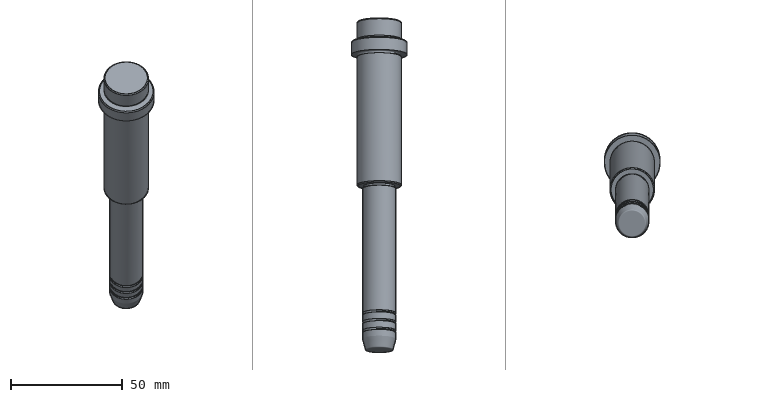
import math

import cadquery as cq

body_radius = 10.0
collar_radius = 12.5
pin_radius = 7.5

total_length = 150.0
head_height = 9.0
collar_height = 6.0
collar_top = total_length - head_height
collar_bottom = collar_top - collar_height
body_bottom = total_length / 2

edge_chamfer = 0.5

neck_depth = 0.5
neck_height = 1.0

tip_height = 5.0
tip_angle = math.radians(15)
tip_radius = pin_radius - tip_height * math.tan(tip_angle)
tip_fillet = 0.5

groove_radius = 0.5
collar_groove_heights = [collar_bottom - groove_radius, collar_top + groove_radius]
pin_groove_count = 3
pin_groove_pitch = 4.0
lowest_pin_groove_height = 8.5


def revolve_profile(points):
    """Turn a closed (radius, height) outline about the Z axis."""
    return cq.Workplane("XZ").polyline(points).close().revolve(360, (0, 0), (0, 1))


def make_ring(shaft_radius, center_height):
    """Round-section ring centred on a shaft's surface, used to cut a half-round groove."""
    section = cq.Workplane("XZ").center(-shaft_radius, center_height).circle(groove_radius)
    return section.revolve(360, (shaft_radius, 0), (shaft_radius, 1))


def make_tip():
    """Tapered lead-in at the lower end."""
    tip = revolve_profile([(0, 0), (tip_radius, 0), (pin_radius, tip_height), (0, tip_height)])
    return tip.faces("<Z").edges().fillet(tip_fillet)


def make_pin():
    """Slim guide section with a neck under the body and ring grooves above the tip."""
    neck_radius = pin_radius - neck_depth
    neck_bottom = body_bottom - neck_height
    pin = revolve_profile([
        (0, tip_height),
        (pin_radius, tip_height),
        (pin_radius, neck_bottom),
        (neck_radius, neck_bottom),
        (neck_radius, body_bottom),
        (0, body_bottom),
    ])
    for groove_index in range(pin_groove_count):
        groove_height = lowest_pin_groove_height + groove_index * pin_groove_pitch
        pin = pin.cut(make_ring(pin_radius, groove_height))
    return pin


def make_body():
    """Thick shank and head, chamfered at both ends and grooved on both sides of the collar."""
    end_radius = body_radius - edge_chamfer
    body = revolve_profile([
        (0, body_bottom),
        (end_radius, body_bottom),
        (body_radius, body_bottom + edge_chamfer),
        (body_radius, total_length - edge_chamfer),
        (end_radius, total_length),
        (0, total_length),
    ])
    for groove_height in collar_groove_heights:
        body = body.cut(make_ring(body_radius, groove_height))
    return body


def make_collar():
    """Locating collar with a chamfered upper edge."""
    return revolve_profile([
        (0, collar_bottom),
        (collar_radius, collar_bottom),
        (collar_radius, collar_top - edge_chamfer),
        (collar_radius - edge_chamfer, collar_top),
        (0, collar_top),
    ])


result = make_tip().union(make_pin()).union(make_body()).union(make_collar())